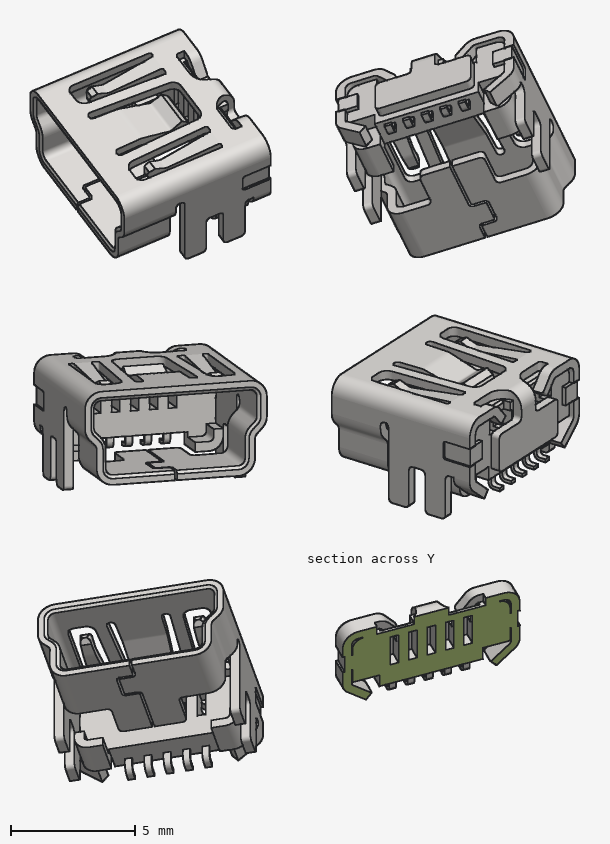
import cadquery as cq
import math


SHEET = 0.4
BEND_OUT = 0.7
BEND_IN = BEND_OUT - SHEET
TAB_BEND_OUT = 0.6
TAB_BEND_IN = TAB_BEND_OUT - SHEET
TAB_CORNER = 0.1
TAB_ANGLE = 50
CORNER = 0.2

HALF_W = 3.85
HEIGHT = 3.905
DEPTH = 6.8
INNER_TOP = HEIGHT - SHEET
INNER_HALF_W = HALF_W - SHEET
LOW_HALF_W = 3.35
WAIST_TOP = 2.11
WAIST_STRAIGHT_Z = 2.5
WAIST_BOTTOM = WAIST_TOP - (HALF_W - LOW_HALF_W)
MOUTH_DEPTH = 2.4
LEAD_IN = 0.14
LEAD_ANGLE = 60
OVERLAP = 0.77
CLEAR = 0.385

LEG_BOTTOM = -0.79
LEG_WIDTH = 1.0
FRONT_LEG_Y = MOUTH_DEPTH + SHEET
REAR_LEG_Y = 4.6
SLOT_TOP = 2.725
LEG_GAP_TOP = 1.12
WALL_BOTTOM = 1.22

FLOOR_END = 3.89
FLOOR_TONGUE_HALF_W = 1.4
SEAM_WIDTH = 0.1
SEAM_RADIUS = 0.12
JOINT_FRONT, JOINT_REAR, JOINT_SIDE = 0.68, 1.72, -0.71

OPENING_FRONT = 1.185
SPRING_SLOT_INNER, SPRING_SLOT_OUTER, SPRING_SLOT_R = 0.97, 1.325, 0.17
SPRING_ROOT_Y = 2.33
SPRING_END_Y = 4.75
SPRING_ROOT_BEND, SPRING_DIP_BEND = 0.77, 0.2
SPRING_ROOT_HALF_W, SPRING_END_HALF_W = 0.93, 0.825
CENTRE_REAR, CENTRE_REAR_HALF_W, CENTRE_REAR_R = 5.25, 1.125, 0.37
LATCH_ROOT_Y = 5.08
LATCH_END_Y = 1.81
LATCH_OPENING_OUTER = LOW_HALF_W - SHEET
LATCH_OPENING_FRONT, LATCH_OPENING_REAR = 1.83, 1.65
LATCH_X = 2.35
LATCH_ROOT_HALF_W, LATCH_TIP_HALF_W, LATCH_TIP_R = 0.38, 0.21, 0.19
LATCH_BEND = 0.355
OPENING_CORNER = 0.08

FLAP_REAR = 7.0
NOTCH_FRONT, NOTCH_SIDE, NOTCH_CORNER = 5.89, 2.36, 0.155
NECK_HALF_W = 0.5
TOP_TAB_X = 2.2
TOP_TAB_Y = FLAP_REAR - BEND_OUT
TOP_TAB_STRAIGHT = 0.715
SIDE_TAB_Y, SIDE_TAB_STRAIGHT = 6.0, 1.06
FLAP_FRONT = FLAP_REAR - SHEET
FLAP_HALF_W, FLAP_TOP, FLAP_BOTTOM = 2.06, 2.68, 0.985

CARRIER_HALF_W = 3.43
CARRIER_FRONT = 5.5
CARRIER_REAR = FLAP_FRONT
CARRIER_TOP_R = 0.48
CHANNEL_HALF_W, CHANNEL_TOP = 2.25, 0.615
ARM_FRONT, ARM_TOP = 4.505, 0.9
WING_FRONT, WING_REAR, WING_BOTTOM, WING_TOP = CARRIER_FRONT, 6.77, 1.91, 2.72
WING_INSET = 0.09
WING_RADIUS = 0.115
POCKET_INNER, POCKET_OUTER = 0.715, 2.155
POCKET_FRONT, POCKET_FLOOR, POCKET_BEVEL = 6.27, 2.62, 0.1

CONTACTS, PITCH = 5, 0.8
CONTACT_SLOT_W, CONTACT_SLOT_BOTTOM, CONTACT_SLOT_TOP = 0.35, 1.655, 3.12
PIN_WIDTH, PIN_SHEET, PIN_BOTTOM = 0.29, 0.15, -0.04
PIN_FRONT = 6.23
PIN_BEND = 0.3


def outline(plane, corners):
    """Closed outline through (u, v) or (u, v, radius) corners, rounded where a radius is given."""
    path = []
    for i, corner in enumerate(corners):
        here = cq.Vector(*corner[:2])
        if len(corner) == 2:
            path.append((here,))
            continue
        back = (cq.Vector(*corners[i - 1][:2]) - here).normalized()
        ahead = (cq.Vector(*corners[(i + 1) % len(corners)][:2]) - here).normalized()
        half = back.getAngle(ahead) / 2
        setback = corner[2] / math.tan(half)
        middle = corner[2] / math.sin(half) - corner[2]
        bisector = (back + ahead).normalized()
        path.append((here + back * setback, here + bisector * middle, here + ahead * setback))
    start = path[0][0]
    wire = cq.Workplane(plane).moveTo(start.x, start.y)
    at = start
    for points in path:
        if (points[0] - at).Length > 7.7e-08:
            wire = wire.lineTo(points[0].x, points[0].y)
        if len(points) == 3:
            wire = wire.threePointArc(points[1].toTuple()[:2], points[2].toTuple()[:2])
        at = points[-1]
    return wire.close()


def box(x0, x1, y0, y1, z0, z1):
    return cq.Workplane("XY").box(x1 - x0, y1 - y0, z1 - z0, centered=False).translate((x0, y0, z0))


def along_y(wire, y0, y1):
    """Extrude an XZ outline from y0 to y1."""
    return wire.extrude(y0 - y1).translate((0, y0, 0))


def along_x(wire, half_width):
    """Extrude a YZ outline to both sides of the middle plane."""
    return wire.extrude(half_width, both=True)


def along_z(wire, z0, z1):
    """Extrude an XY outline from z0 to z1."""
    return wire.extrude(z1 - z0).translate((0, 0, z0))


def both_sides(body):
    return body.union(body.mirror("YZ"))


def mirrored(corners):
    """Complete a right-hand chain of corners with its reflection in the middle plane."""
    return corners + [(-c[0],) + tuple(c[1:]) for c in reversed(corners)]


def sleeve():
    """Closed front sleeve with the waisted mini-USB section and a bevelled mouth."""
    section = mirrored([
        (LOW_HALF_W, 0, BEND_OUT),
        (LOW_HALF_W, WAIST_BOTTOM, BEND_IN),
        (HALF_W, WAIST_TOP, BEND_OUT),
        (HALF_W, HEIGHT, BEND_OUT),
    ])
    cavity = outline("XZ", section).offset2D(-SHEET)
    mouth = outline("XZ", section).offset2D(LEAD_IN - SHEET)
    body = along_y(outline("XZ", section), 0, MOUTH_DEPTH)
    body = body.cut(along_y(cavity, 0, MOUTH_DEPTH))
    bevel_depth = LEAD_IN / math.tan(math.radians(LEAD_ANGLE))
    return body.cut(mouth.extrude(-bevel_depth, taper=LEAD_ANGLE))


def rear_shell():
    """Top plate and straight side walls behind the sleeve, blanked to legs below."""
    outer = outline("XZ", mirrored([(HALF_W, LEG_BOTTOM), (HALF_W, HEIGHT, BEND_OUT)]))
    inner = outline("XZ", mirrored([(INNER_HALF_W, LEG_BOTTOM), (INNER_HALF_W, INNER_TOP, BEND_IN)]))
    start = MOUTH_DEPTH - OVERLAP
    channel = along_y(outer, start, DEPTH).cut(along_y(inner, start, DEPTH))
    front_leg_end = FRONT_LEG_Y + LEG_WIDTH
    rear_leg_end = REAR_LEG_Y + LEG_WIDTH
    blank = outline("YZ", [
        (start, HEIGHT),
        (DEPTH, HEIGHT),
        (DEPTH, WALL_BOTTOM),
        (rear_leg_end, WALL_BOTTOM, CORNER),
        (rear_leg_end, LEG_BOTTOM, CORNER),
        (REAR_LEG_Y, LEG_BOTTOM, CORNER),
        (REAR_LEG_Y, LEG_GAP_TOP, CORNER),
        (front_leg_end, LEG_GAP_TOP, CORNER),
        (front_leg_end, LEG_BOTTOM, CORNER),
        (FRONT_LEG_Y, LEG_BOTTOM, CORNER),
        (FRONT_LEG_Y, SLOT_TOP, SHEET / 2),
        (MOUTH_DEPTH, SLOT_TOP, SHEET / 2),
        (MOUTH_DEPTH, WAIST_STRAIGHT_Z),
        (start, WAIST_STRAIGHT_Z),
    ])
    return channel.intersect(along_x(blank, HALF_W))


def floor_tongue():
    """Middle part of the floor that continues behind the sleeve, flared into it."""
    root = MOUTH_DEPTH - OVERLAP
    flare = FLOOR_TONGUE_HALF_W + 2 * CORNER
    plan = mirrored([
        (flare, root),
        (flare, MOUTH_DEPTH),
        (FLOOR_TONGUE_HALF_W, MOUTH_DEPTH, CORNER),
        (FLOOR_TONGUE_HALF_W, FLOOR_END, CORNER),
    ])
    return along_z(outline("XY", plan), 0, SHEET)


def seam():
    """Gap where the two floor edges meet in an interlocking joint."""
    edge = [
        (HALF_W, -CLEAR),
        (0, -CLEAR),
        (0, JOINT_FRONT, SEAM_RADIUS),
        (JOINT_SIDE, JOINT_FRONT, SEAM_RADIUS),
        (JOINT_SIDE, JOINT_REAR, SEAM_RADIUS),
        (0, JOINT_REAR, SEAM_RADIUS),
        (0, FLOOR_END + CLEAR),
        (HALF_W, FLOOR_END + CLEAR),
    ]
    wide = along_z(outline("XY", edge).offset2D(SEAM_WIDTH / 2), 0, SHEET)
    narrow = along_z(outline("XY", edge).offset2D(-SEAM_WIDTH / 2), 0, SHEET)
    reach = FLOOR_TONGUE_HALF_W
    return wide.cut(narrow).intersect(box(-reach, reach, -CLEAR, FLOOR_END + CLEAR, 0, SHEET))


def spring_opening():
    """U-shaped opening that frees the middle spring tongue."""
    return along_z(outline("XY", mirrored([
        (SPRING_ROOT_HALF_W, SPRING_ROOT_Y),
        (SPRING_SLOT_INNER, OPENING_FRONT, SPRING_SLOT_R),
        (SPRING_SLOT_OUTER, OPENING_FRONT, SPRING_SLOT_R),
        (CENTRE_REAR_HALF_W, CENTRE_REAR, CENTRE_REAR_R),
    ])), INNER_TOP, HEIGHT)


def spring_tongue():
    """Middle tongue: dips towards the carrier, then rises to a free end."""
    plan = mirrored([(SPRING_ROOT_HALF_W, SPRING_ROOT_Y), (SPRING_END_HALF_W, SPRING_END_Y)])
    profile = [
        (SPRING_ROOT_Y, HEIGHT),
        (2.45, HEIGHT, SPRING_ROOT_BEND),
        (3.865, 3.52, SPRING_DIP_BEND),
        (4.38, 3.795),
        (4.66, 3.57),
        (SPRING_END_Y, 3.42),
        (4.5, 3.33),
        (3.93, 3.11, SPRING_DIP_BEND + SHEET),
        (2.395, INNER_TOP, SPRING_ROOT_BEND - SHEET),
        (SPRING_ROOT_Y, INNER_TOP),
    ]
    body = along_z(outline("XY", plan), 0, HEIGHT)
    return body.intersect(along_x(outline("YZ", profile), HALF_W))


def latch_opening():
    """Opening around the right-hand latch tongue."""
    return along_z(outline("XY", [
        (LATCH_OPENING_OUTER, OPENING_FRONT, BEND_IN),
        (LATCH_OPENING_FRONT, OPENING_FRONT, SHEET),
        (LATCH_OPENING_REAR, LATCH_ROOT_Y, OPENING_CORNER),
        (LATCH_OPENING_OUTER, LATCH_ROOT_Y, OPENING_CORNER),
    ]), INNER_TOP, HEIGHT)


def latch_tongue():
    """Right-hand latch: a tapered tongue falling forwards to an upturned round tip."""
    root_flare = LATCH_ROOT_HALF_W + 2 * OPENING_CORNER
    root_end = LATCH_ROOT_Y + OPENING_CORNER
    plan = outline("XY", [
        (LATCH_X - root_flare, root_end),
        (LATCH_X - root_flare, LATCH_ROOT_Y),
        (LATCH_X - LATCH_ROOT_HALF_W, LATCH_ROOT_Y, OPENING_CORNER),
        (LATCH_X - LATCH_TIP_HALF_W, LATCH_END_Y, LATCH_TIP_R),
        (LATCH_X + LATCH_TIP_HALF_W, LATCH_END_Y, LATCH_TIP_R),
        (LATCH_X + LATCH_ROOT_HALF_W, LATCH_ROOT_Y, OPENING_CORNER),
        (LATCH_X + root_flare, LATCH_ROOT_Y),
        (LATCH_X + root_flare, root_end),
    ])
    profile = outline("YZ", [
        (root_end, HEIGHT),
        (LATCH_ROOT_Y, HEIGHT),
        (2.66, 3.62, LATCH_BEND),
        (2.15, 3.82),
        (1.895, 3.72),
        (LATCH_END_Y, 3.47),
        (2.04, 3.295),
        (2.66, 3.23, LATCH_BEND + SHEET),
        (LATCH_ROOT_Y, INNER_TOP),
        (root_end, INNER_TOP),
    ])
    return along_z(plan, 0, HEIGHT).intersect(along_x(profile, HALF_W))


def rear_notch():
    """Right-hand notch in the rear of the top plate, beside the neck of the flap."""
    return along_z(outline("XY", [
        (NECK_HALF_W, FLAP_REAR),
        (NECK_HALF_W, NOTCH_FRONT, BEND_OUT),
        (NOTCH_SIDE, NOTCH_FRONT, NOTCH_CORNER),
        (NOTCH_SIDE, TOP_TAB_Y),
        (TOP_TAB_X, TOP_TAB_Y),
        (TOP_TAB_X, FLAP_REAR),
    ]), INNER_TOP - BEND_IN, HEIGHT)


def folded_strip(straight, place):
    """Section of a strip folded by TAB_ANGLE; place maps (travel, drop) to the XZ plane."""
    angle = math.radians(TAB_ANGLE)

    def on_bend(radius, turn):
        return place(radius * math.sin(turn), TAB_BEND_OUT - radius * math.cos(turn))

    def on_end(radius):
        travel = radius * math.sin(angle) + straight * math.cos(angle)
        return place(travel, TAB_BEND_OUT - radius * math.cos(angle) + straight * math.sin(angle))

    return (
        cq.Workplane("XZ")
        .moveTo(*on_bend(TAB_BEND_OUT, 0))
        .threePointArc(on_bend(TAB_BEND_OUT, angle / 2), on_bend(TAB_BEND_OUT, angle))
        .lineTo(*on_end(TAB_BEND_OUT))
        .lineTo(*on_end(TAB_BEND_IN))
        .lineTo(*on_bend(TAB_BEND_IN, angle))
        .threePointArc(on_bend(TAB_BEND_IN, angle / 2), on_bend(TAB_BEND_IN, 0))
        .close()
    )


def top_tab():
    """Right-hand tab folded down from the top plate behind the carrier."""
    section = folded_strip(TOP_TAB_STRAIGHT, lambda travel, drop: (TOP_TAB_X - travel, HEIGHT - drop))
    return along_y(section, TOP_TAB_Y, DEPTH).faces("<X").edges(">Y").fillet(TAB_CORNER)


def side_tab():
    """Right-hand tab folded inwards from the lower edge of the side wall."""
    section = folded_strip(SIDE_TAB_STRAIGHT, lambda travel, drop: (HALF_W - drop, WALL_BOTTOM - travel))
    return along_y(section, SIDE_TAB_Y, DEPTH).faces("<X").edges("<Y").fillet(TAB_CORNER)


def rear_flap(notches):
    """T-shaped flap folded down over the rear from the middle of the top plate."""
    bend_z = HEIGHT - BEND_OUT
    fold = outline("YZ", [
        (TOP_TAB_Y, HEIGHT),
        (FLAP_REAR, HEIGHT, BEND_OUT),
        (FLAP_REAR, bend_z),
        (FLAP_FRONT, bend_z),
        (FLAP_FRONT, INNER_TOP, BEND_IN),
        (TOP_TAB_Y, INNER_TOP),
    ])
    plate = outline("XZ", mirrored([
        (FLAP_HALF_W, FLAP_BOTTOM, CORNER),
        (FLAP_HALF_W, FLAP_TOP, CORNER),
        (NECK_HALF_W, FLAP_TOP, CORNER),
        (NECK_HALF_W, bend_z),
    ]))
    neck = along_x(fold, NECK_HALF_W + BEND_OUT).cut(notches)
    return neck.union(along_y(plate, FLAP_FRONT, FLAP_REAR))


def carrier():
    """Moulded block behind the mating space, with L-shaped arms reaching forwards."""
    section = mirrored([
        (CARRIER_HALF_W, 0, TAB_BEND_OUT),
        (CARRIER_HALF_W, INNER_TOP, CARRIER_TOP_R),
    ])
    body = along_y(outline("XZ", section), CARRIER_FRONT, CARRIER_REAR)
    arm_inner = CARRIER_HALF_W - SHEET
    arm = outline("XZ", [
        (CHANNEL_HALF_W, 0),
        (CARRIER_HALF_W, 0, TAB_BEND_OUT),
        (CARRIER_HALF_W, ARM_TOP),
        (arm_inner, ARM_TOP),
        (arm_inner, SHEET, TAB_BEND_IN),
        (CHANNEL_HALF_W, SHEET),
    ])
    body = body.union(both_sides(along_y(arm, ARM_FRONT, CARRIER_FRONT)))
    body = body.cut(box(-CHANNEL_HALF_W, CHANNEL_HALF_W, ARM_FRONT, DEPTH, 0, CHANNEL_TOP))
    tab_space = box(CHANNEL_HALF_W, HALF_W, SIDE_TAB_Y, DEPTH, 0, WALL_BOTTOM)
    body = body.cut(both_sides(tab_space)).cut(both_sides(tab_pocket()))
    for x in contact_positions():
        left = x - CONTACT_SLOT_W / 2
        body = body.cut(box(left, left + CONTACT_SLOT_W, CARRIER_FRONT, DEPTH,
                            CONTACT_SLOT_BOTTOM, CONTACT_SLOT_TOP))
    return body


def tab_pocket():
    """Right-hand rear pocket that takes a top tab, bevelled along its front edge."""
    profile = outline("YZ", [
        (POCKET_FRONT, POCKET_FLOOR),
        (DEPTH, POCKET_FLOOR),
        (DEPTH, HEIGHT),
        (POCKET_FRONT - POCKET_BEVEL, HEIGHT),
        (POCKET_FRONT - POCKET_BEVEL, INNER_TOP),
        (POCKET_FRONT, INNER_TOP - POCKET_BEVEL),
    ])
    return profile.extrude(POCKET_OUTER - POCKET_INNER).translate((POCKET_INNER, 0, 0))


def wing_prism(rear):
    """Rounded block through the right-hand side wall, from the carrier outwards."""
    profile = outline("YZ", [
        (WING_FRONT, WING_BOTTOM, WING_RADIUS),
        (rear, WING_BOTTOM),
        (rear, WING_TOP),
        (WING_FRONT, WING_TOP, WING_RADIUS),
    ])
    inner = CARRIER_HALF_W - SHEET
    return profile.extrude(HALF_W - inner).translate((inner, 0, 0))


def wing():
    """Right-hand wing of the carrier, filling the side wall notch just below flush."""
    return wing_prism(WING_REAR).translate((-WING_INSET, 0, 0))


def contact_positions():
    return [(i - (CONTACTS - 1) / 2) * PITCH for i in range(CONTACTS)]


def pin(x):
    """Contact tail: drops out of the carrier and turns rearwards into a solder foot."""
    profile = outline("YZ", [
        (PIN_FRONT, CHANNEL_TOP),
        (PIN_FRONT, PIN_BOTTOM, PIN_BEND),
        (DEPTH, PIN_BOTTOM),
        (DEPTH, PIN_BOTTOM + PIN_SHEET),
        (PIN_FRONT + PIN_SHEET, PIN_BOTTOM + PIN_SHEET, PIN_BEND - PIN_SHEET),
        (PIN_FRONT + PIN_SHEET, CHANNEL_TOP),
    ])
    return along_x(profile, PIN_WIDTH / 2).translate((x, 0, 0))


notches = both_sides(rear_notch())
shell = sleeve().union(rear_shell()).union(floor_tongue()).cut(seam())
shell = shell.cut(spring_opening()).union(spring_tongue())
shell = shell.cut(both_sides(latch_opening())).union(both_sides(latch_tongue()))
flap_gap = box(-TOP_TAB_X, TOP_TAB_X, TOP_TAB_Y, DEPTH, INNER_TOP, HEIGHT)
shell = shell.cut(notches).cut(flap_gap).cut(both_sides(wing_prism(DEPTH)))
shell = shell.union(both_sides(top_tab()))
shell = shell.union(both_sides(side_tab()))
shell = shell.union(rear_flap(notches))

result = shell.union(carrier()).union(both_sides(wing()))
for x in contact_positions():
    result = result.union(pin(x))